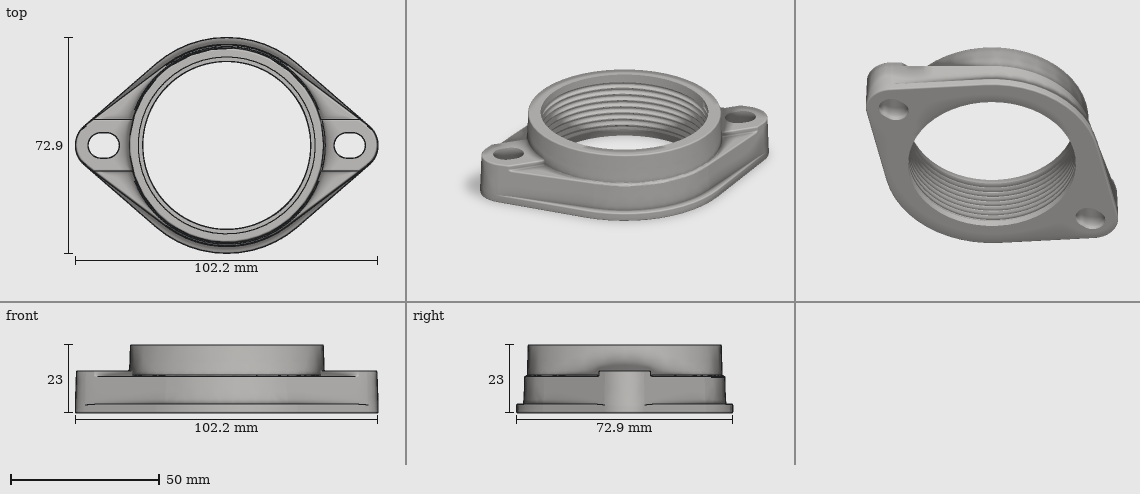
import cadquery as cq
import math

lug_round_x = 42.5
lug_round_radius = 8.6
plate_radius = 36.45
wall_radius = 34.2

plate_height = 3.0
shelf_height = 12.4
lug_height = 14.2
total_height = 23.0

draft_angle = 2.0
edge_fillet = 0.5
collar_foot_fillet = 0.4

lug_half_width = 8.7
slot_x = 41.5
slot_length = 10.5
slot_width = 8.5

collar_foot_radius = 32.95
bore_radius = 29.85

thread_minor_radius = 28.33
thread_pitch = 2.309
thread_depth = 1.4
thread_flank_angle = 27.5
thread_crest_width = 0.3
thread_start_height = 1.32
thread_turns = 8.5
plain_ring_height = 2.4
groove_overcut = 0.2


def collar_radius(z):
    """Drafted outer radius of the collar at height z."""
    return collar_foot_radius - (z - shelf_height) * math.tan(math.radians(draft_angle))


def flange_outline(big_radius, z):
    """Two big arcs and two lug arcs joined by tangent lines, drawn at height z."""
    cos_tangent = (big_radius - lug_round_radius) / lug_round_x
    sin_tangent = math.sqrt(1 - cos_tangent**2)
    big_x = big_radius * cos_tangent
    big_y = big_radius * sin_tangent
    lug_x = lug_round_x + lug_round_radius * cos_tangent
    lug_y = lug_round_radius * sin_tangent
    lug_end = lug_round_x + lug_round_radius
    return (
        cq.Workplane("XY", origin=(0, 0, z))
        .moveTo(big_x, big_y)
        .threePointArc((0, big_radius), (-big_x, big_y))
        .lineTo(-lug_x, lug_y)
        .threePointArc((-lug_end, 0), (-lug_x, -lug_y))
        .lineTo(-big_x, -big_y)
        .threePointArc((0, -big_radius), (big_x, -big_y))
        .lineTo(lug_x, -lug_y)
        .threePointArc((lug_end, 0), (lug_x, lug_y))
        .close()
    )


def make_plate():
    """Base plate with rounded top and bottom edges."""
    plate = flange_outline(plate_radius, 0).extrude(plate_height)
    return plate.faces("<Z or >Z").edges().fillet(edge_fillet)


def make_shelf_cut(side):
    """Block that lowers one side of the wall, with a rounded foot at the lug step."""
    block = cq.Workplane("XY", origin=(0, side * (lug_half_width + plate_radius / 2), shelf_height)).box(
        3 * plate_radius, plate_radius, lug_height, centered=(True, True, False)
    )
    inner_side = "<Y" if side > 0 else ">Y"
    return block.faces("<Z").edges(inner_side).fillet(edge_fillet)


def is_rim_edge(edge):
    """True for the sharp top edges of the wall, not the lines where the step foot is rounded."""
    box = edge.BoundingBox()
    margin = edge_fillet / 4
    along_step = box.ymax - box.ymin < margin and box.xmax - box.xmin > lug_half_width
    at_step_foot = along_step and box.zmax < lug_height - margin
    return box.zmin > shelf_height - margin and not at_step_foot


def make_wall():
    """Drafted wall with a raised lug at each end and lower shelves beside the lugs."""
    base = plate_height - edge_fillet
    wall = flange_outline(wall_radius, base).extrude(lug_height - base, taper=draft_angle)
    for side in (-1, 1):
        wall = wall.cut(make_shelf_cut(side))
    return wall.newObject([edge for edge in wall.edges().vals() if is_rim_edge(edge)]).fillet(edge_fillet)


def make_collar():
    """Solid drafted collar with a rounded top edge."""
    collar = (
        cq.Workplane("XZ")
        .lineTo(collar_foot_radius, 0)
        .lineTo(collar_foot_radius, shelf_height)
        .lineTo(collar_radius(total_height), total_height)
        .lineTo(0, total_height)
        .close()
        .revolve(360, (0, 0), (0, 1))
    )
    return collar.faces(">Z").edges().fillet(edge_fillet)


def is_collar_foot(edge):
    """True for edges where the collar meets the shelves, the steps and the lug tops."""
    middle = edge.positionAt(0.5)
    box = edge.BoundingBox()
    margin = edge_fillet / 4
    in_height = box.zmin > shelf_height - margin and box.zmax < lug_height + margin
    return in_height and abs(math.hypot(middle.x, middle.y) - collar_radius(middle.z)) < margin


def make_flange():
    flange = make_plate().union(make_wall()).union(make_collar())
    foot_edges = [edge for edge in flange.edges().vals() if is_collar_foot(edge)]
    flange = flange.newObject(foot_edges).fillet(collar_foot_fillet)
    bore = cq.Workplane("XY").circle(bore_radius).extrude(total_height)
    slots = (
        cq.Workplane("XY")
        .pushPoints([(-slot_x, 0), (slot_x, 0)])
        .slot2D(slot_length, slot_width)
        .extrude(total_height)
    )
    return flange.cut(bore).cut(slots)


def make_thread_groove():
    """Helical groove with a flat root, cut off level above a plain ring at the bottom of the sleeve."""
    flank_slope = math.tan(math.radians(thread_flank_angle))
    half_mouth = (thread_pitch - thread_crest_width) / 2
    half_inner = half_mouth + groove_overcut * flank_slope
    half_root = half_mouth - thread_depth * flank_slope
    inner_radius = thread_minor_radius - groove_overcut
    root_radius = thread_minor_radius + thread_depth
    helix = cq.Wire.makeHelix(
        thread_pitch,
        thread_turns * thread_pitch,
        thread_minor_radius,
        center=cq.Vector(0, 0, thread_start_height),
    )
    groove = (
        cq.Workplane("XZ", origin=(0, 0, thread_start_height))
        .moveTo(inner_radius, -half_inner)
        .lineTo(root_radius, -half_root)
        .lineTo(root_radius, half_root)
        .lineTo(inner_radius, half_inner)
        .close()
        .sweep(cq.Workplane(helix), isFrenet=True)
    )
    plain_ring = cq.Workplane("XY", origin=(0, 0, -thread_pitch)).circle(plate_radius)
    return groove.cut(plain_ring.extrude(thread_pitch + plain_ring_height))


def make_threaded_sleeve():
    sleeve = cq.Workplane("XY").circle(bore_radius).circle(thread_minor_radius).extrude(total_height)
    return sleeve.cut(make_thread_groove())


flange = make_flange()
threaded_sleeve = make_threaded_sleeve()

result = cq.Compound.makeCompound([flange.val(), threaded_sleeve.val()])